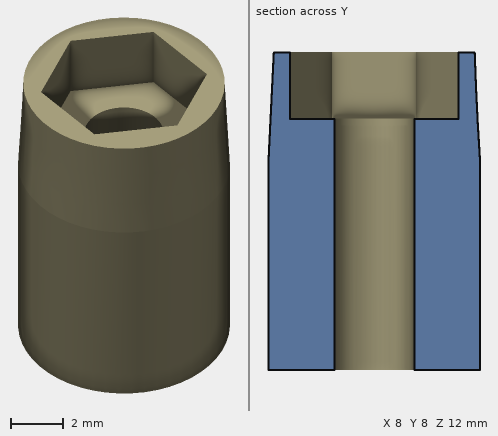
import cadquery as cq
import math

height = 12
body_diameter = height * 2 / 3
bore_diameter = height / 4

collar_height = height / 3
collar_top_diameter = 7.61

socket_across_flats = 5.5
socket_depth = 2.5


def make_body():
    """Revolve a straight barrel with a gently tapered collar."""
    body_radius = body_diameter / 2
    top_radius = collar_top_diameter / 2
    return (
        cq.Workplane("XZ")
        .lineTo(body_radius, 0)
        .lineTo(body_radius, height - collar_height)
        .lineTo(top_radius, height)
        .lineTo(0, height)
        .close()
        .revolve(360, (0, 0), (0, 1))
    )


def cut_bore(body):
    """Cut the round bore right through the axis."""
    return body.faces(">Z").workplane().circle(bore_diameter / 2).cutThruAll()


def cut_socket(body):
    """Cut the blind hexagonal socket into the top face."""
    across_corners = socket_across_flats / math.cos(math.pi / 6)
    return body.faces(">Z").workplane().polygon(6, across_corners).cutBlind(-socket_depth)


result = cut_socket(cut_bore(make_body()))